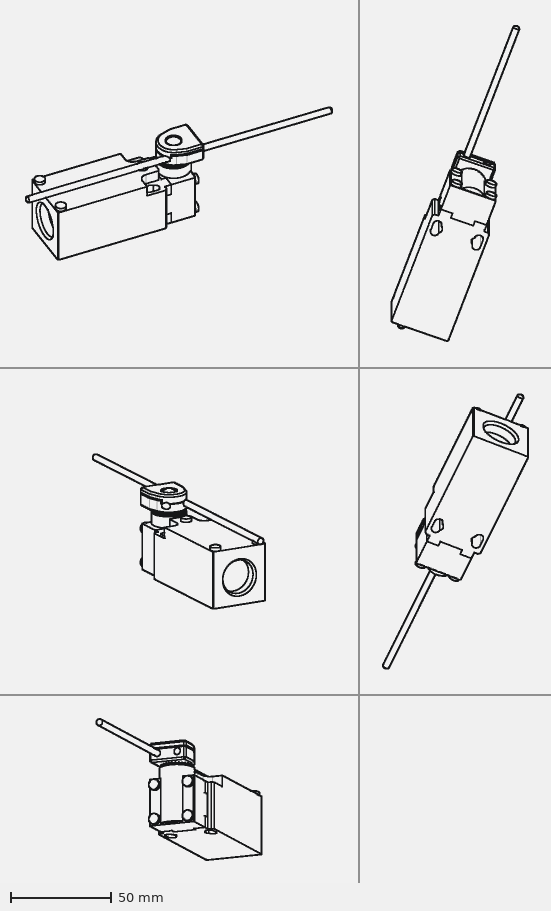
import cadquery as cq
import math


housing_width = 30.3
housing_height = 29.8
shoulder_y = -10.7
housing_end_y = -71.5
shoulder_chamfer = 1.0
end_edge_chamfer = 0.5

lug_height = 24.0
lug_end_y = -22.1
lug_inner_x = 6.0
lug_corner_radius = 3.7
cover_corner_radius = 1.0
keyhole_x = 11.0
keyhole_y = -17.3
keyhole_width = 4.2
keyhole_length = 8.0
keyhole_bulge_radius = 2.0
keyhole_bulge_x = 9.9

entry_z = 14.3
entry_radius = 8.7
entry_chamfer = 1.0
entry_chamfer_depth = 1.5
entry_depth = 6.1

neck_width = 24.3
joint_y = -7.1
tongue_end_y = -9.7
tongue_width = 11.9

screw_radius = 2.7
screw_rim_height = 1.7
screw_dome_height = 0.8
cover_screw_places = [(0, -17.3), (-12.0, -68.5), (12.0, -68.5)]

head_rear_y = 6.5
head_edge_chamfer = 0.5
turret_radius = 8.8
turret_bottom = 0.8
turret_top = 30.0
head_screw_x = 9.2
head_screw_z_spacing = 17.7

tooth_count = 30
tooth_outer_radius = 8.2
tooth_inner_radius = 6.0
tooth_height = 1.4

lever_bottom = turret_top + tooth_height
lever_top = 41.1
lever_half_width = 10.0
lever_rear_y = 12.2
lever_side_end_y = 2.5
lever_front_radius = 8.8
lever_chamfer = 1.0
knob_pocket_radius = 4.0
knob_pocket_depth = 0.7
knob_radius = 3.7
knob_dome_height = 1.5

groove_depth = 0.5
side_groove_z = 38.0
side_groove_height = 0.5
side_groove_end_y = -4.8
front_groove_z = 36.5
front_groove_height = 0.2

rod_length = 170.0
rod_radius = 1.7
rod_tip_height = 1.0
rod_middle_y = 0.3
rod_x = 5.5
rod_z = 35.5


def block(x_min, x_max, y_min, y_max, z_min, z_max):
    """Box between the given limits."""
    size = (x_max - x_min, y_max - y_min, z_max - z_min)
    return cq.Workplane("XY").box(*size, centered=False).translate((x_min, y_min, z_min))


def centred_block(width, y_min, y_max, z_min, z_max):
    """Box centred on X = 0."""
    return block(-width / 2, width / 2, y_min, y_max, z_min, z_max)


def dome(radius, height):
    """Spherical cap whose flat base lies on Z = 0."""
    sphere_radius = (radius**2 + height**2) / (2 * height)
    half_angle = math.asin(radius / sphere_radius) / 2
    arc_mid = (
        sphere_radius * math.sin(half_angle),
        height - sphere_radius * (1 - math.cos(half_angle)),
    )
    return (
        cq.Workplane("XZ")
        .lineTo(radius, 0)
        .threePointArc(arc_mid, (0, height))
        .close()
        .revolve(360, (0, 0, 0), (0, 1, 0))
    )


def screw_head():
    """Domed screw head standing on Z = 0."""
    rim = cq.Workplane("XY").circle(screw_radius).extrude(screw_rim_height)
    return rim.union(dome(screw_radius, screw_dome_height).translate((0, 0, screw_rim_height)))


def joint_tongue():
    """Cross-shaped tongue of the head that fills the recess in the housing neck."""
    middle = lug_height / 2
    upright = centred_block(tongue_width, tongue_end_y, joint_y, 0, lug_height)
    crossbar = centred_block(
        neck_width, tongue_end_y, joint_y, middle - tongue_width / 2, middle + tongue_width / 2
    )
    return upright.union(crossbar)


def lug_recess():
    """Cutter that lowers the housing corner on the +X side to lug height."""
    return (
        block(lug_inner_x, housing_width, lug_end_y, joint_y, lug_height, housing_height)
        .edges("|Z and <X and <Y")
        .fillet(lug_corner_radius)
    )


def keyhole():
    """Through cutter on the +X side: a slot with a round bulge towards the middle."""
    slot = (
        cq.Workplane("XY")
        .center(keyhole_x, keyhole_y)
        .slot2D(keyhole_length, keyhole_width, 90)
        .extrude(housing_height)
    )
    bulge = (
        cq.Workplane("XY")
        .center(keyhole_bulge_x, keyhole_y)
        .circle(keyhole_bulge_radius)
        .extrude(housing_height)
    )
    return slot.union(bulge)


def cable_entry():
    """Blind round hole in the end face with a chamfered mouth."""
    mouth_radius = entry_radius + entry_chamfer
    return (
        cq.Workplane("XY")
        .lineTo(mouth_radius, 0)
        .lineTo(entry_radius, entry_chamfer_depth)
        .lineTo(entry_radius, entry_depth)
        .lineTo(0, entry_depth)
        .close()
        .revolve(360, (0, 0, 0), (0, 1, 0))
        .translate((0, housing_end_y, entry_z))
    )


def make_housing():
    """Housing with lugs, joint recess, cable entry and cover screws."""
    body = centred_block(housing_width, housing_end_y, shoulder_y, 0, housing_height)
    body = body.edges("|Z and >Y").chamfer(shoulder_chamfer)
    body = body.edges("|Z and <Y").chamfer(end_edge_chamfer)
    body = body.union(centred_block(neck_width, shoulder_y, joint_y, 0, lug_height))
    body = body.cut(joint_tongue())
    for corner_cut in (lug_recess(), keyhole()):
        body = body.cut(corner_cut).cut(corner_cut.mirror("YZ"))
    mid_edge_z = (lug_height + housing_height) / 2
    for x in (-lug_inner_x, lug_inner_x):
        corner_edge = cq.selectors.NearestToPointSelector((x, shoulder_y, mid_edge_z))
        body = body.edges("|Z").edges(corner_edge).fillet(cover_corner_radius)
    body = body.cut(cable_entry())
    for x, y in cover_screw_places:
        body = body.union(screw_head().translate((x, y, housing_height)))
    return body


def serration():
    """Ring of radial V-shaped teeth around a plain hub, standing on Z = 0."""
    ring = cq.Workplane("XY").circle(tooth_inner_radius).extrude(tooth_height)
    half_tooth = tooth_outer_radius * math.tan(math.pi / tooth_count)
    tooth = (
        cq.Workplane("YZ")
        .polyline([(-half_tooth, 0), (half_tooth, 0), (0, tooth_height)])
        .close()
        .extrude(tooth_outer_radius)
    )
    for index in range(tooth_count):
        ring = ring.union(tooth.rotate((0, 0, 0), (0, 0, 1), index * 360 / tooth_count))
    return ring


def make_head():
    """Head with joint tongue, turret, serrated ring and four rear screws."""
    body = centred_block(neck_width, joint_y, head_rear_y, 0, lug_height)
    body = body.edges("|Z and >Y").chamfer(head_edge_chamfer)
    body = body.union(joint_tongue())
    turret = cq.Workplane("XY").workplane(offset=turret_bottom).circle(turret_radius)
    body = body.union(turret.extrude(turret_top - turret_bottom))
    body = body.union(serration().translate((0, 0, turret_top)))
    rear_screw = screw_head().rotate((0, 0, 0), (1, 0, 0), -90)
    for x in (-head_screw_x, head_screw_x):
        for z_side in (-1, 1):
            z = lug_height / 2 + z_side * head_screw_z_spacing / 2
            body = body.union(rear_screw.translate((x, head_rear_y, z)))
    return body


def lever_outline():
    """Lever outline: straight sides, tapered flats and a front arc around the shaft."""
    corner_distance = math.hypot(lever_half_width, lever_side_end_y)
    corner_angle = math.atan2(lever_side_end_y, lever_half_width)
    tangent_angle = corner_angle - math.acos(lever_front_radius / corner_distance)
    tangent_x = lever_front_radius * math.cos(tangent_angle)
    tangent_y = lever_front_radius * math.sin(tangent_angle)
    return (
        cq.Workplane("XY")
        .moveTo(-lever_half_width, lever_rear_y)
        .lineTo(-lever_half_width, lever_side_end_y)
        .lineTo(-tangent_x, tangent_y)
        .threePointArc((0, -lever_front_radius), (tangent_x, tangent_y))
        .lineTo(lever_half_width, lever_side_end_y)
        .lineTo(lever_half_width, lever_rear_y)
        .close()
    )


def parting_groove():
    """Shallow groove that is high on the sides and rear and steps down across the front."""
    half_side = side_groove_height / 2
    half_front = front_groove_height / 2
    width = 2 * lever_half_width
    y_front = -lever_front_radius
    y_step = side_groove_end_y
    upper = centred_block(
        width, y_step, lever_rear_y, side_groove_z - half_side, side_groove_z + half_side
    )
    lower = centred_block(
        width, y_front, y_step, front_groove_z - half_front, front_groove_z + half_front
    )
    step = centred_block(
        width,
        y_step - half_front,
        y_step + half_front,
        front_groove_z - half_front,
        side_groove_z + half_side,
    )
    core = lever_outline().offset2D(-groove_depth).extrude(lever_top)
    return upper.union(lower).union(step).cut(core)


def rod_bore(x):
    """Cylinder along Y through the lever, fitting the rod."""
    return cq.Workplane("XZ").center(x, rod_z).circle(rod_radius).extrude(rod_length / 2, both=True)


def make_lever():
    """Clamp with two cross bores, parting groove and a domed knob on top."""
    body = lever_outline().extrude(lever_top - lever_bottom).translate((0, 0, lever_bottom))
    body = body.faces("<Z or >Z or >Y").chamfer(lever_chamfer)
    body = body.cut(parting_groove())
    for x in (-rod_x, rod_x):
        body = body.cut(rod_bore(x))
    pocket_floor = lever_top - knob_pocket_depth
    pocket = cq.Workplane("XY").circle(knob_pocket_radius).extrude(knob_pocket_depth)
    body = body.cut(pocket.translate((0, 0, pocket_floor)))
    return body.union(dome(knob_radius, knob_dome_height).translate((0, 0, pocket_floor)))


def make_rod():
    """Round rod along Y with domed ends."""
    shank_length = rod_length - 2 * rod_tip_height
    tip = dome(rod_radius, rod_tip_height).translate((0, 0, shank_length / 2))
    shank = cq.Workplane("XY").circle(rod_radius).extrude(shank_length / 2, both=True)
    upright_rod = shank.union(tip).union(tip.mirror("XY"))
    return upright_rod.rotate((0, 0, 0), (1, 0, 0), -90).translate((rod_x, rod_middle_y, rod_z))


housing = make_housing()
head = make_head()
lever = make_lever()
rod = make_rod()

result = cq.Compound.makeCompound([housing.val(), head.val(), lever.val(), rod.val()])